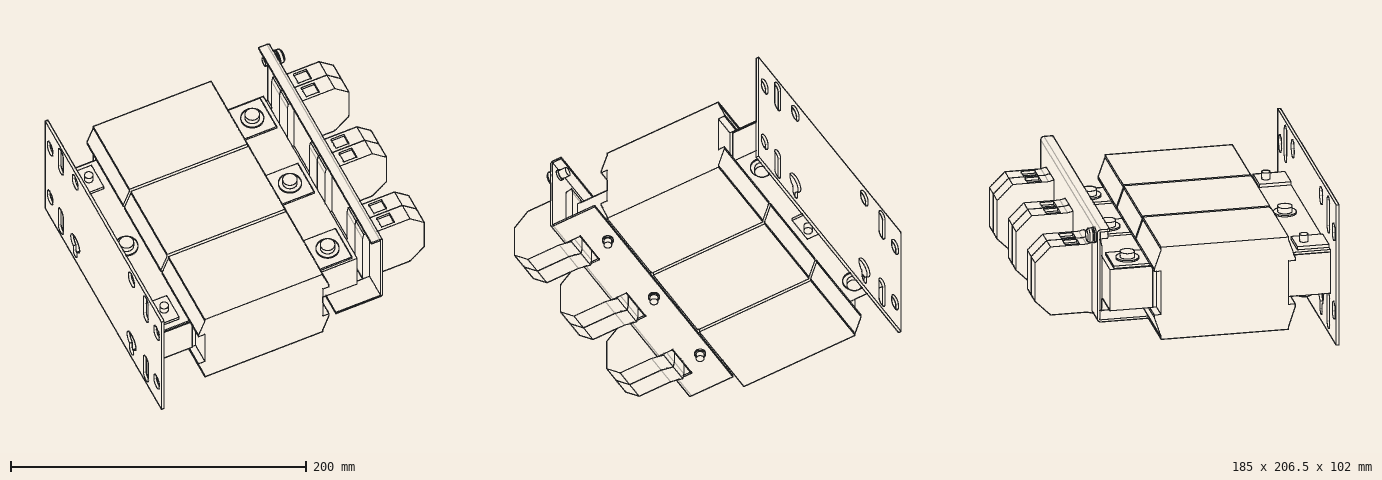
import cadquery as cq


total_depth = 206.5
phase_pitch = 59.9
phase_places = (-phase_pitch, 0.0, phase_pitch)
overlap = 0.6

plate_width = 185.0
plate_height = 102.0
plate_thickness = 2.0
long_slot_x = 67.7
long_slot_width = 7.5
long_slot_length = 26.5
long_slot_z = 34.7
short_slot_x = 84.6
short_slot_width = 8.3
short_slot_length = 12.4
short_slot_z = 28.5
keyhole_x = 44.8
oval_width = 9.0
oval_length = 12.5
oval_z = 39.8
keyhole_diameter = 14.0
keyhole_z = -31.5
keyhole_stem_width = 5.8
keyhole_stem_bottom = -46.5

core_width = 149.0
insulation_width = 147.8
core_bottom = -20.0
core_lamination_top = 10.0
core_top = 11.5
core_bar_depth = 29.7
yoke_back = 155.0
tongue_width = 26.2
tongue_back = 152.0

coil_width = 57.8
coil_bottom = -38.2
coil_top = 28.9
coil_front = 34.3
coil_back = 122.5
flap_reach = 4.7
flap_edge = 1.9

rail_width = 179.4
rail_thickness = 1.7
rail_back = 167.0
rail_top = 45.5
rail_lip_front = 158.5
rail_foot_front = 131.9
rail_bend_radius = 2.3
rail_notch_front = 153.8

terminal_width = 24.8
terminal_bottom = -20.6
terminal_top = 28.9
terminal_front = 160.2
terminal_chamfer = 10.7
terminal_flare = 2.5
terminal_flare_start = 170.7
terminal_lip_depth = 0.8
terminal_lip_height = 4.5
terminal_gap = 0.2
pocket_width = 8.3
pocket_length = 9.7
pocket_y = 180.2
pocket_depth = 2.0

washer_radius = 7.8
washer_thickness = 1.0
head_radius = 5.0
head_height = 5.0
yoke_bolt_y = 139.7
yoke_nut_radius = 3.7
yoke_nut_height = 1.2
yoke_stud_radius = 2.7
yoke_stud_bottom = -27.2
foot_bolt_y = 17.3
foot_stud_radius = 2.9
foot_stud_reach = 7.2
tab_width = 19.8
tab_back = 24.0
tab_thickness = 2.3
earth_x = 81.3
earth_z = 38.8
earth_washer_radius = 5.4
earth_washer_thickness = 1.0
earth_neck_radius = 4.0
earth_head_radius = 5.0
earth_head_front = 169.0
earth_head_back = 172.5
earth_head_edge = 1.2
earth_collar_radius = 3.7
earth_collar_length = 1.5
earth_shank_radius = 3.0


def block(x_range, y_range, z_range):
    """Box between the given limits."""
    size = [high - low for low, high in (x_range, y_range, z_range)]
    start = (x_range[0], y_range[0], z_range[0])
    return cq.Workplane("XY").box(*size, centered=False).translate(start)


def centred_block(x, width, y_range, z_range):
    """Box of the given width centred at x."""
    return block((x - width / 2, x + width / 2), y_range, z_range)


def disc_z(x, y, radius, z_low, z_high):
    """Upright cylinder."""
    return cq.Workplane("XY", origin=(x, y, z_low)).circle(radius).extrude(z_high - z_low)


def disc_y(x, z, radius, y_low, y_high):
    """Cylinder lying along Y."""
    return cq.Workplane("XZ", origin=(x, y_low, z)).circle(radius).extrude(y_low - y_high)


def side_profile(points, x, width):
    """Prism along X, centred at x, from (y, z) points."""
    return cq.Workplane("YZ", origin=(x - width / 2, 0, 0)).polyline(points).close().extrude(width)


def upright_slots(places, length, width):
    """Cutters for vertical round-ended slots through the mounting plate."""
    return cq.Workplane("XZ").pushPoints(places).slot2D(length, width, 90).extrude(-plate_thickness)


def mounting_plate():
    plate = centred_block(0, plate_width, (0, plate_thickness), (-plate_height / 2, plate_height / 2))
    sides = (-1, 1)
    long_places = [(sx * long_slot_x, sz * long_slot_z) for sx in sides for sz in sides]
    short_places = [(sx * short_slot_x, sz * short_slot_z) for sx in sides for sz in sides]
    oval_places = [(sx * keyhole_x, oval_z) for sx in sides]
    stem_length = keyhole_z - keyhole_stem_bottom
    stem_places = [(sx * keyhole_x, keyhole_z - stem_length / 2) for sx in sides]
    plate = plate.cut(upright_slots(long_places, long_slot_length, long_slot_width))
    plate = plate.cut(upright_slots(short_places, short_slot_length, short_slot_width))
    plate = plate.cut(upright_slots(oval_places, oval_length, oval_width))
    plate = plate.cut(upright_slots(stem_places, stem_length, keyhole_stem_width))
    for sx in sides:
        plate = plate.cut(disc_y(sx * keyhole_x, keyhole_z, keyhole_diameter / 2, 0, plate_thickness))
    return plate


def core():
    """Front bar and rear yoke, with the slightly narrower insulation towards the coils."""
    bar_back = plate_thickness + core_bar_depth
    yoke_front = yoke_back - core_bar_depth
    front_bar = centred_block(0, core_width, (plate_thickness, bar_back), (core_bottom, core_lamination_top))
    front_insulation = centred_block(
        0, insulation_width, (plate_thickness, coil_front + overlap), (core_bottom, core_top)
    )
    yoke = centred_block(0, core_width, (yoke_front, yoke_back), (core_bottom, core_lamination_top))
    yoke_insulation = centred_block(
        0, insulation_width, (coil_back - overlap, yoke_front), (core_bottom, core_lamination_top)
    )
    body = front_bar.union(front_insulation).union(yoke).union(yoke_insulation)
    for x in phase_places:
        tongue_y_range = (coil_back - overlap, tongue_back)
        body = body.union(centred_block(x, tongue_width, tongue_y_range, (core_lamination_top, core_top)))
    return body


def coil(x):
    """Winding with sloped flaps above and below the core at both ends."""
    flap_front = coil_front - flap_reach
    flap_back = coil_back + flap_reach
    outline = [
        (coil_front, coil_top),
        (coil_front, coil_top - flap_edge),
        (flap_front, core_top + flap_edge),
        (flap_front, core_top),
        (coil_front, core_top),
        (coil_front, core_bottom),
        (flap_front, core_bottom),
        (flap_front, core_bottom - flap_edge),
        (coil_front, coil_bottom + flap_edge),
        (coil_front, coil_bottom),
        (coil_back, coil_bottom),
        (coil_back, coil_bottom + flap_edge),
        (flap_back, core_bottom - flap_edge),
        (flap_back, core_bottom),
        (coil_back, core_bottom),
        (coil_back, core_top),
        (flap_back, core_top),
        (flap_back, core_top + flap_edge),
        (coil_back, coil_top - flap_edge),
        (coil_back, coil_top),
    ]
    return side_profile(outline, x, coil_width)


def terminal_rail():
    """Bent sheet with a wall, a top lip and a foot notched below each terminal."""
    foot_bottom = core_bottom - rail_thickness
    wall_front = rail_back - rail_thickness
    outline = [
        (rail_foot_front, foot_bottom),
        (rail_back, foot_bottom),
        (rail_back, rail_top),
        (rail_lip_front, rail_top),
        (rail_lip_front, rail_top - rail_thickness),
        (wall_front, rail_top - rail_thickness),
        (wall_front, core_bottom),
        (rail_foot_front, core_bottom),
    ]
    rail = side_profile(outline, 0, rail_width).edges("|X and >Y").fillet(rail_bend_radius)
    for x in phase_places:
        notch_y_range = (rail_notch_front, wall_front)
        rail = rail.cut(centred_block(x, terminal_width, notch_y_range, (foot_bottom, core_bottom)))
    return rail


def terminal(x):
    """Pair of terminal blocks joined by the rail, each with a wire pocket on top."""
    flare_top = terminal_top + terminal_flare
    flare_bottom = terminal_bottom - terminal_flare
    lip_y = terminal_front + terminal_lip_depth
    outline = [
        (total_depth, terminal_bottom + terminal_chamfer),
        (total_depth, terminal_top - terminal_chamfer),
        (total_depth - terminal_chamfer, terminal_top),
        (terminal_flare_start, terminal_top),
        (lip_y, flare_top),
        (terminal_front, flare_top - terminal_lip_height),
        (terminal_front, flare_bottom + terminal_lip_height),
        (lip_y, flare_bottom),
        (terminal_flare_start, terminal_bottom),
        (total_depth - terminal_chamfer, terminal_bottom),
    ]
    block_width = (terminal_width - terminal_gap) / 2
    block_offset = (terminal_width - block_width) / 2
    pair = cq.Workplane("XY")
    pocket_y_range = (pocket_y - pocket_length / 2, pocket_y + pocket_length / 2)
    pocket_z_range = (terminal_top - pocket_depth, terminal_top)
    for side in (-1, 1):
        block_x = x + side * block_offset
        pocket = centred_block(block_x, pocket_width, pocket_y_range, pocket_z_range)
        pair = pair.add(side_profile(outline, block_x, block_width).cut(pocket))
    return pair.combine()


def bolt_head(x, y):
    """Round head on a washer, standing on the top of the core."""
    washer = disc_z(x, y, washer_radius, core_top, core_top + washer_thickness)
    head = disc_z(x, y, head_radius, core_top, core_top + head_height)
    return washer.union(head)


def yoke_bolt(x):
    foot_bottom = core_bottom - rail_thickness
    nut = disc_z(x, yoke_bolt_y, yoke_nut_radius, foot_bottom - yoke_nut_height, foot_bottom)
    stud = disc_z(x, yoke_bolt_y, yoke_stud_radius, yoke_stud_bottom, foot_bottom)
    return bolt_head(x, yoke_bolt_y).union(nut).union(stud)


def foot_clamp(x):
    """Bolt with its head above the front bar and its end through a plate tab below."""
    tab_z_range = (core_bottom - tab_thickness, core_bottom)
    tab = centred_block(x, tab_width, (plate_thickness, tab_back), tab_z_range)
    stud = disc_z(x, foot_bolt_y, foot_stud_radius, core_bottom - foot_stud_reach, core_bottom)
    return bolt_head(x, foot_bolt_y).union(tab).union(stud)


def inverted_foot_clamp(x):
    """Foot clamp turned over, with the tab above the front bar and the head below."""
    mid_height = (core_bottom + core_top) / 2
    return foot_clamp(x).mirror("XY", (0, 0, mid_height))


def earth_nut(x):
    """Press nut on the front face of the rail wall."""
    wall_front = rail_back - rail_thickness
    return disc_y(x, earth_z, earth_collar_radius, wall_front - earth_collar_length, wall_front)


def earth_screw(x):
    """Screw with washer behind the rail, its shank reaching as far forward as the rail lip."""
    washer = disc_y(x, earth_z, earth_washer_radius, rail_back, rail_back + earth_washer_thickness)
    neck = disc_y(x, earth_z, earth_neck_radius, rail_back, earth_head_front)
    head = disc_y(x, earth_z, earth_head_radius, earth_head_front, earth_head_back)
    head = head.faces(">Y").edges().chamfer(earth_head_edge)
    shank = disc_y(x, earth_z, earth_shank_radius, rail_lip_front, rail_back)
    return washer.union(neck).union(head).union(shank)


result = mounting_plate().union(core()).union(terminal_rail()).union(foot_clamp(0))
result = result.union(earth_screw(-earth_x))
for nut_x in (-earth_x, earth_x):
    result = result.union(earth_nut(nut_x))
for phase_x in phase_places:
    result = result.union(coil(phase_x)).union(terminal(phase_x)).union(yoke_bolt(phase_x))
for clamp_x in (-phase_pitch, phase_pitch):
    result = result.union(inverted_foot_clamp(clamp_x))